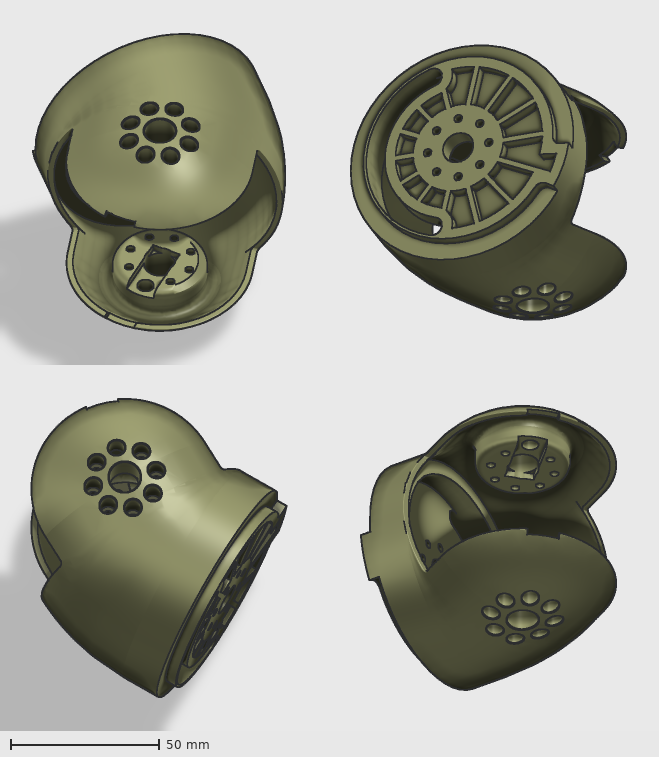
import cadquery as cq
import math

outer_radius = 40.0
wall = 2.0
cavity_radius = outer_radius - wall
flange_step = 3.85
collar_length = 13.25
elbow_start = flange_step + collar_length
bend_angle = 28.0
straight_length = 11.3

bend_radians = math.radians(bend_angle)
bend_axis_gap = 0.02
bend_radius = outer_radius + bend_axis_gap
bend_axis_y = -bend_radius
pivot_x = elbow_start + bend_radius * math.sin(bend_radians) + straight_length * math.cos(bend_radians)
pivot_y = bend_axis_y + bend_radius * math.cos(bend_radians) - straight_length * math.sin(bend_radians)

plate_thickness = 7.0
spigot_radius = 34.0
bore_radius = 5.45
bolt_circle_radius = 11.0
bolt_count = 8
bolt_radius = 1.4
slot_inner_radius = 26.3
slot_outer_radius = 33.0
slot_middle_radius = (slot_inner_radius + slot_outer_radius) / 2
slot_end_radius = (slot_outer_radius - slot_inner_radius) / 2
slot_end_angle = 108.0
pocket_count = 14
pocket_depth = 4.2
pocket_wall = 3.8
pocket_inner_radius = 16.2
pocket_outer_radius = spigot_radius - pocket_wall
pocket_short_radius = slot_inner_radius - pocket_wall
rib_width = 2.0
pitch = 360.0 / pocket_count
tab_angle = -0.75 * pitch
tab_half_angle = 11.8
tab_root_fillet = 3.0

opening_half_height = 24.1
opening_edge_fillet = 0.4
opening_corner_radius = 1.2
notch_width = 11.0
notch_half_height = 25.9

boss_radius = 16.0
boss_face = 22.7
boss_edge_fillet = 3.0
boss_root_fillet = 3.0
cheek_bore_radius = 5.3
head_radius = 2.8
head_floor = 3.5
hole_edge_chamfer = 0.3
cable_angle = -45.0
channel_width = 10.0
channel_depth = 2.5

far = 2 * outer_radius
margin = 1.0


def at_pivot(shape, angle):
    """Move a shape built around the origin to the pivot, turned about Z."""
    return shape.rotate((0, 0, 0), (0, 0, 1), angle).translate((pivot_x, pivot_y, 0))


def along_x(radius, start, end):
    return cq.Workplane("YZ", origin=(start, 0, 0)).circle(radius).extrude(end - start)


def hemisphere(radius):
    """Half ball on the +X side of the origin."""
    quarter = (
        cq.Workplane("XY")
        .lineTo(radius, 0)
        .radiusArc((0, radius), -radius)
        .close()
    )
    return quarter.revolve(360, (0, 0), (1, 0))


def on_plate(x=0.0):
    """Workplane on the plate face: local x is -Y, local y is Z, negative extrusion is +X."""
    return cq.Workplane(cq.Plane((x, 0, 0), xDir=(0, -1, 0), normal=(-1, 0, 0)))


def polar(radius, angle):
    a = math.radians(angle)
    return (radius * math.cos(a), radius * math.sin(a))


def around_pivot(reach, low, high):
    """Selector for edges wholly inside a box around the pivot, between two heights."""
    return cq.selectors.BoxSelector(
        (pivot_x - reach, pivot_y - reach, low),
        (pivot_x + reach, pivot_y + reach, high),
        boundingbox=True,
    )


def near(radius, angle, reach):
    """Selector for edges of the plate features close to one polar position."""
    right, up = polar(radius, angle)
    return cq.selectors.BoxSelector(
        (-margin, -right - reach, up - reach),
        (plate_thickness + margin, -right + reach, up + reach),
    )


def swept_body(radius, start):
    """Collar, elbow, straight section and domed end with one common radius."""
    collar = along_x(radius, start, elbow_start)
    elbow = (
        cq.Workplane("YZ", origin=(elbow_start, 0, 0))
        .circle(radius)
        .revolve(bend_angle, (bend_axis_y, 1, 0), (bend_axis_y, 0, 0))
    )
    straight = at_pivot(along_x(radius, -straight_length, 0), -bend_angle)
    dome = at_pivot(hemisphere(radius), -bend_angle)
    return collar.union(elbow).union(straight).union(dome)


def sector(radius, start_angle, end_angle):
    """Pie slice on the plate plane, as deep as the plate."""
    middle_angle = (start_angle + end_angle) / 2
    return (
        on_plate()
        .lineTo(*polar(radius, start_angle))
        .threePointArc(polar(radius, middle_angle), polar(radius, end_angle))
        .close()
        .extrude(-plate_thickness)
    )


def plate_disc(radius):
    return on_plate().circle(radius).extrude(-plate_thickness)


def bosses():
    """Round boss on the inside of each cheek, with a rolled edge."""
    upper = (
        cq.Workplane("XY", origin=(pivot_x, pivot_y, boss_face))
        .circle(boss_radius)
        .extrude(far)
        .faces("<Z")
        .edges()
        .fillet(boss_edge_fillet)
    )
    return upper.union(upper.mirror("XY"))


def curved_slot():
    """Round-ended slot through the plate on the +Y side."""
    band = plate_disc(slot_outer_radius).cut(plate_disc(slot_inner_radius))
    slot = band.intersect(sector(far, slot_end_angle, 360 - slot_end_angle))
    for side in (1, -1):
        end = on_plate().center(*polar(slot_middle_radius, side * slot_end_angle))
        slot = slot.union(end.circle(slot_end_radius).extrude(-plate_thickness))
    return slot


def cavity():
    """Inner space of the shell with the plate slot, leaving the bosses standing."""
    bore_length = elbow_start - plate_thickness
    bore = on_plate(plate_thickness).circle(slot_outer_radius).extrude(-bore_length)
    room = swept_body(cavity_radius, elbow_start - wall)
    room = room.cut(bosses())
    reach = boss_radius + margin
    root_low = boss_face + boss_edge_fillet + margin
    roots = around_pivot(reach, root_low, outer_radius)
    mirrored_roots = around_pivot(reach, -outer_radius, -root_low)
    room = room.edges(roots + mirrored_roots).fillet(boss_root_fillet)
    return room.union(bore.union(curved_slot()))


def fork_opening():
    """Gap between the cheeks, open past the elbow end, sparing the bosses."""
    gap = (
        cq.Workplane("XY")
        .box(far, 2 * far, 2 * opening_half_height, centered=(False, True, True))
        .edges("<X and |Y")
        .fillet(opening_corner_radius)
        .translate((-straight_length, 0, 0))
    )
    return at_pivot(gap, -bend_angle).cut(bosses())


def rim_notch():
    """Cable notch across the edge of both cheeks."""
    reach = outer_radius - boss_radius
    notch = cq.Workplane("XY").box(reach, notch_width, 2 * notch_half_height, centered=(False, True, True))
    return at_pivot(notch.translate((boss_radius + 2 * boss_root_fillet, 0, 0)), cable_angle)


def flange_step_cut():
    """Ring in front of the collar face, interrupted by the anti-rotation tab."""
    ring = on_plate().circle(far).circle(spigot_radius).extrude(-flange_step)
    tab = sector(2 * far, tab_angle - tab_half_angle, tab_angle + tab_half_angle)
    ring = ring.cut(tab)
    tab_half_width = spigot_radius * math.sin(math.radians(tab_half_angle))
    root = near(spigot_radius, tab_angle, tab_half_width + margin)
    return ring.edges("|X").edges(root).fillet(tab_root_fillet)


def pocket_boundary():
    """Outer limit of the pockets: follows spigot, slot and tab at one wall thickness."""
    limit = plate_disc(pocket_outer_radius)

    lobe_apex = polar(pocket_wall / math.sin(math.radians(tab_half_angle)), tab_angle)
    lobe = sector(far, tab_angle - tab_half_angle, tab_angle + tab_half_angle)
    lobe = lobe.translate((0, -lobe_apex[0], lobe_apex[1]))
    lobe = lobe.intersect(plate_disc(outer_radius - pocket_wall))
    limit = limit.union(lobe)

    slot_side = sector(far, slot_end_angle, 360 - slot_end_angle)
    limit = limit.cut(slot_side.cut(plate_disc(pocket_short_radius)))
    for side in (1, -1):
        end = on_plate().center(*polar(slot_middle_radius, side * slot_end_angle))
        limit = limit.cut(end.circle(slot_end_radius + pocket_wall).extrude(-plate_thickness))
    return limit


def pockets():
    """Blind pockets between the radial ribs of the plate."""
    ring = on_plate().circle(outer_radius).circle(pocket_inner_radius).extrude(-pocket_depth)
    for index in range(pocket_count):
        rib = cq.Workplane("XY").box(
            plate_thickness, outer_radius, rib_width, centered=(False, False, True)
        )
        ring = ring.cut(rib.rotate((0, 0, 0), (1, 0, 0), index * pitch))
    return ring.intersect(pocket_boundary())


def plate_holes():
    bolts = on_plate().polarArray(bolt_circle_radius, 0, 360, bolt_count).circle(bolt_radius)
    bore = on_plate().circle(bore_radius)
    return bolts.extrude(-plate_thickness).union(bore.extrude(-plate_thickness))


def cheek_wide_holes():
    """Centre bore and screw head holes from outside; the cable hole is a through hole."""
    upper = cq.Workplane("XY", origin=(pivot_x, pivot_y, 0))
    one_side = upper.circle(cheek_bore_radius).extrude(far)
    for index in range(bolt_count):
        angle = cable_angle + index * 360 / bolt_count
        floor = 0 if index == 0 else boss_face + head_floor
        head = upper.workplane(offset=floor).center(*polar(bolt_circle_radius, angle))
        one_side = one_side.union(head.circle(head_radius).extrude(far))
    return one_side.union(one_side.mirror("XY"))


def cheek_bolt_holes():
    return (
        cq.Workplane("XY", origin=(pivot_x, pivot_y, 0))
        .polarArray(bolt_circle_radius, 0, 360, bolt_count)
        .circle(bolt_radius)
        .extrude(far, both=True)
    )


def cable_channels():
    """Channel across both boss faces, from just behind the centre bore outwards."""
    length = boss_radius + margin + channel_width / 2
    channel = cq.Workplane("XY").box(
        length, channel_width, 2 * (boss_face + channel_depth), centered=(False, True, True)
    )
    return at_pivot(channel.translate((-channel_width / 2, 0, 0)), cable_angle)


def drilled_outside():
    """Outer solid with the cheek holes, their rims lightly chamfered."""
    solid = swept_body(outer_radius, 0).cut(cheek_wide_holes())
    reach = bolt_circle_radius + head_radius + margin
    rim_low = boss_face + head_floor + margin
    for low, high in ((rim_low, far), (-far, -rim_low)):
        solid = solid.edges(around_pivot(reach, low, high)).chamfer(hole_edge_chamfer)
    return solid


def forked_outside():
    """Drilled outer solid with the fork opening, rounded along its outer edge."""
    solid = drilled_outside().cut(fork_opening())
    height = opening_half_height + opening_edge_fillet / 2
    opening_edges = around_pivot(2 * far, -height, height)
    boss_edges = around_pivot(boss_radius + margin, -height, height)
    seams = around_pivot(2 * far, -margin, margin)
    across = cq.selectors.ParallelDirSelector(
        cq.Vector(math.sin(bend_radians), math.cos(bend_radians), 0)
    )
    rim = solid.edges(opening_edges - boss_edges - seams - across)
    return rim.fillet(opening_edge_fillet)


result = (
    forked_outside()
    .cut(cavity())
    .cut(rim_notch())
    .cut(cable_channels())
    .cut(cheek_bolt_holes())
    .cut(flange_step_cut())
    .cut(pockets())
    .cut(plate_holes())
)